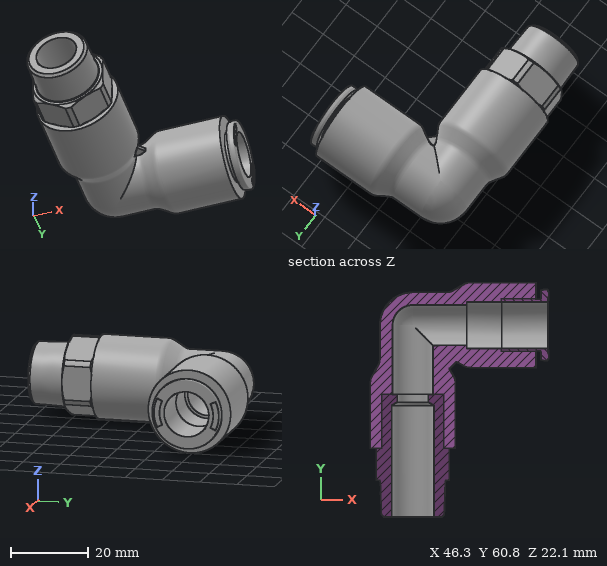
import cadquery as cq
import math


NECK_RADIUS = 8.55
ARM_RADIUS = 11.05
ARM_LENGTH = 31.95
SHOULDER_START = 9.65
SHOULDER_ANGLE = math.radians(30)
SHOULDER_FILLET = 3.0
FLOW_RADIUS = 5.2
RIB_THICKNESS = 1.0
RIB_REACH = 20.85
RIB_INSET = 8.0

TUBE_RADIUS = 6.0
TUBE_STOP = 14.0
COLLET_RADIUS = 6.75
COLLET_SEAT = 23.0
FLANGE_RADIUS = 9.25
FLANGE_BACK_RADIUS = 9.0
FLANGE_START = 33.2
FLANGE_RIM_START = 34.0
FLANGE_END = 35.05
FLANGE_ROUND = 0.2
COLLET_END = 35.25
PAD_INNER_RADIUS = 7.2
PAD_OUTER_RADIUS = 8.7
PAD_ANGLE = 52.0

SHANK_RADIUS = 8.0
SHANK_LENGTH = 14.0
HEX_ACROSS_FLATS = 19.0
HEX_CORNER_RADIUS = 10.53
HEX_FACE_RADIUS = 9.43
HEX_CHAMFER = 0.6
HEX_LENGTH = 8.25
COLLAR_RADIUS = 8.6
COLLAR_LENGTH = 0.2
THREAD_START_RADIUS = 8.47
THREAD_LENGTH = 9.55
THREAD_TAPER = 1 / 32
THREAD_CHAMFER = 0.7
STUD_BORE_RADIUS = 5.45
STUD_THROAT_RADIUS = 4.0
THROAT_LENGTH = 2.0
BORE_CONE_ANGLE = math.radians(59)

STUD_INNER_END = ARM_LENGTH - SHANK_LENGTH
HEX_END = ARM_LENGTH + HEX_LENGTH
STUD_END = HEX_END + THREAD_LENGTH


def turned_on_x(profile):
    """Revolve a closed profile, given in X and radius, about the X axis."""
    return profile.close().revolve(360, (0, 0, 0), (1, 0, 0))


def onto_thread_axis(shape):
    """Turn a shape built along +X so that it points along -Y."""
    return shape.rotate((0, 0, 0), (0, 0, 1), -90)


def cylinder_on_x(radius, start, end):
    return cq.Workplane("YZ").workplane(offset=start).circle(radius).extrude(end - start)


def elbow_arm():
    """One arm: neck, filleted conical shoulder and full-diameter sleeve."""
    shoulder_end = SHOULDER_START + (ARM_RADIUS - NECK_RADIUS) / math.tan(SHOULDER_ANGLE)
    tangent = SHOULDER_FILLET * math.tan(SHOULDER_ANGLE / 2)
    tangent_x = tangent * math.cos(SHOULDER_ANGLE)
    tangent_r = tangent * math.sin(SHOULDER_ANGLE)
    profile = (
        cq.Workplane("XY")
        .lineTo(0, NECK_RADIUS)
        .lineTo(SHOULDER_START - tangent, NECK_RADIUS)
        .tangentArcPoint((SHOULDER_START + tangent_x, NECK_RADIUS + tangent_r), relative=False)
        .lineTo(shoulder_end - tangent_x, ARM_RADIUS - tangent_r)
        .tangentArcPoint((shoulder_end + tangent, ARM_RADIUS), relative=False)
        .lineTo(ARM_LENGTH, ARM_RADIUS)
        .lineTo(ARM_LENGTH, 0)
    )
    return turned_on_x(profile)


def elbow_rib():
    """Thin web bridging the inner corner between the two arms."""
    far = RIB_REACH - RIB_INSET
    return (
        cq.Workplane("XY")
        .workplane(offset=-RIB_THICKNESS / 2)
        .polyline([(RIB_INSET, -RIB_INSET), (far, -RIB_INSET), (RIB_INSET, -far)])
        .close()
        .extrude(RIB_THICKNESS)
    )


def make_elbow():
    arm = elbow_arm()
    outside = (
        cq.Workplane("XY")
        .sphere(NECK_RADIUS)
        .union(arm)
        .union(onto_thread_axis(arm))
        .union(elbow_rib())
    )
    flow = cylinder_on_x(FLOW_RADIUS, 0, ARM_LENGTH)
    return (
        outside
        .cut(cq.Workplane("XY").sphere(FLOW_RADIUS))
        .cut(flow)
        .cut(onto_thread_axis(flow))
        .cut(cylinder_on_x(TUBE_RADIUS, TUBE_STOP, ARM_LENGTH))
        .cut(cylinder_on_x(COLLET_RADIUS, COLLET_SEAT, ARM_LENGTH))
        .cut(onto_thread_axis(cylinder_on_x(SHANK_RADIUS, STUD_INNER_END, ARM_LENGTH)))
    )


def collet_pad(middle_angle):
    """Raised ring sector on the end face of the collet, centred on an angle from +Y."""
    start = math.radians(middle_angle - PAD_ANGLE / 2)
    middle = math.radians(middle_angle)
    end = math.radians(middle_angle + PAD_ANGLE / 2)

    def at(radius, angle):
        return (radius * math.cos(angle), radius * math.sin(angle))

    return (
        cq.Workplane("YZ")
        .workplane(offset=FLANGE_END)
        .moveTo(*at(PAD_INNER_RADIUS, start))
        .lineTo(*at(PAD_OUTER_RADIUS, start))
        .threePointArc(at(PAD_OUTER_RADIUS, middle), at(PAD_OUTER_RADIUS, end))
        .lineTo(*at(PAD_INNER_RADIUS, end))
        .threePointArc(at(PAD_INNER_RADIUS, middle), at(PAD_INNER_RADIUS, start))
        .close()
        .extrude(COLLET_END - FLANGE_END)
    )


def make_collet():
    profile = (
        cq.Workplane("XY")
        .moveTo(COLLET_SEAT, TUBE_RADIUS)
        .lineTo(COLLET_SEAT, COLLET_RADIUS)
        .lineTo(FLANGE_START - FLANGE_ROUND, COLLET_RADIUS)
        .lineTo(FLANGE_START, COLLET_RADIUS + FLANGE_ROUND)
        .lineTo(FLANGE_START, FLANGE_BACK_RADIUS)
        .lineTo(FLANGE_RIM_START, FLANGE_RADIUS)
        .lineTo(FLANGE_END - FLANGE_ROUND, FLANGE_RADIUS)
        .tangentArcPoint((FLANGE_END, FLANGE_RADIUS - FLANGE_ROUND), relative=False)
        .lineTo(FLANGE_END, TUBE_RADIUS)
    )
    collet = turned_on_x(profile)
    for angle in (0, 180):
        collet = collet.union(collet_pad(angle))
    return collet


def stud_hex():
    """Hexagon with flats facing +X and -X, its corners turned down and chamfered at both ends."""
    across_corners = HEX_ACROSS_FLATS / math.cos(math.radians(30))
    hexagon = (
        cq.Workplane("YZ")
        .workplane(offset=ARM_LENGTH)
        .transformed(rotate=(0, 0, 30))
        .polygon(6, across_corners)
        .extrude(HEX_LENGTH)
    )
    envelope = turned_on_x(
        cq.Workplane("XY")
        .moveTo(ARM_LENGTH, 0)
        .lineTo(ARM_LENGTH, HEX_FACE_RADIUS)
        .lineTo(ARM_LENGTH + HEX_CHAMFER, HEX_CORNER_RADIUS)
        .lineTo(HEX_END - HEX_CHAMFER, HEX_CORNER_RADIUS)
        .lineTo(HEX_END, HEX_FACE_RADIUS)
        .lineTo(HEX_END, 0)
    )
    return hexagon.intersect(envelope)


def stud_thread():
    """Thin collar on the hexagon, then a smooth tapered thread envelope with a chamfered tip."""
    thread_start = HEX_END + COLLAR_LENGTH
    chamfer_start = STUD_END - THREAD_CHAMFER
    tip_radius = THREAD_START_RADIUS - THREAD_TAPER * (chamfer_start - thread_start)
    return turned_on_x(
        cq.Workplane("XY")
        .moveTo(HEX_END, 0)
        .lineTo(HEX_END, COLLAR_RADIUS)
        .lineTo(thread_start, COLLAR_RADIUS)
        .lineTo(thread_start, THREAD_START_RADIUS)
        .lineTo(chamfer_start, tip_radius)
        .lineTo(STUD_END, tip_radius - THREAD_CHAMFER)
        .lineTo(STUD_END, 0)
    )


def stud_bore():
    """Through bore that narrows through a cone to a throat at the inner end."""
    cone_start = STUD_INNER_END + THROAT_LENGTH
    cone_end = cone_start + (STUD_BORE_RADIUS - STUD_THROAT_RADIUS) / math.tan(BORE_CONE_ANGLE)
    return turned_on_x(
        cq.Workplane("XY")
        .moveTo(STUD_INNER_END, 0)
        .lineTo(STUD_INNER_END, STUD_THROAT_RADIUS)
        .lineTo(cone_start, STUD_THROAT_RADIUS)
        .lineTo(cone_end, STUD_BORE_RADIUS)
        .lineTo(STUD_END, STUD_BORE_RADIUS)
        .lineTo(STUD_END, 0)
    )


def make_stud():
    stud = (
        cylinder_on_x(SHANK_RADIUS, STUD_INNER_END, ARM_LENGTH)
        .union(stud_hex())
        .union(stud_thread())
        .cut(stud_bore())
    )
    return onto_thread_axis(stud)


elbow = make_elbow()
collet = make_collet()
stud = make_stud()

result = cq.Compound.makeCompound([elbow.val(), collet.val(), stud.val()])